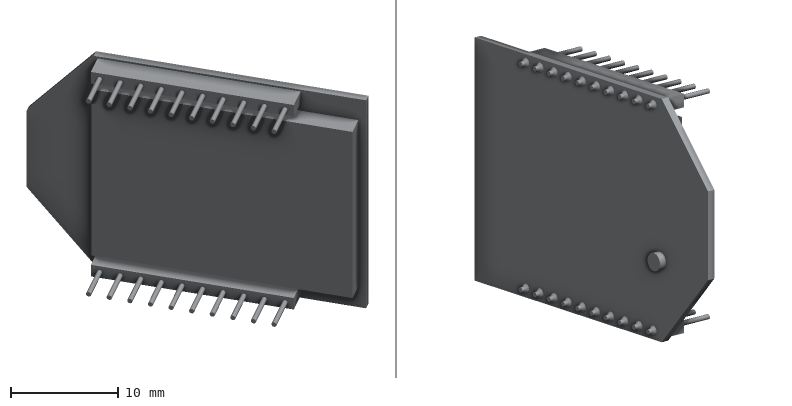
import cadquery as cq

board_length = 32.95
board_height = 23.72
board_thickness = 0.8
nose_length = 6.52
nose_height = 8.65

module_left = 6.85
module_right = 32.18
module_height = 18.95
module_depth = 2.0

header_left = 6.9
header_length = 19.7
header_height = 1.32
header_depth = 2.3
header_offset = 11.0

pins_per_header = 10
pin_row_length = 18.0
pin_pitch = pin_row_length / (pins_per_header - 1)
pin_diameter = 0.5
pin_length = 3.75
pin_tail_length = 0.65

solder_diameter = 1.0
solder_height = 0.33

connector_x = 6.8
connector_z = -3.95
connector_diameter = 1.75
connector_height = 0.75

header_center_x = header_left + header_length / 2
first_pin_x = header_center_x - pin_row_length / 2


def make_board():
    half_height = board_height / 2
    half_nose = nose_height / 2
    outline = [
        (0, -half_nose),
        (nose_length, -half_height),
        (board_length, -half_height),
        (board_length, half_height),
        (nose_length, half_height),
        (0, half_nose),
    ]
    return cq.Workplane("XZ").polyline(outline).close().extrude(-board_thickness)


def front_block(left, length, height, depth, center_z):
    """Rectangular block standing on the front face of the board."""
    return (
        cq.Workplane("XZ")
        .center(left + length / 2, center_z)
        .rect(length, height)
        .extrude(depth)
    )


def make_pin(x, z):
    """Pin with its solder cone, turned about an axis along Y."""
    pin_radius = pin_diameter / 2
    front_end = -header_depth - pin_length
    solder_end = board_thickness + solder_height
    back_end = board_thickness + pin_tail_length
    profile = [
        (0, front_end),
        (pin_radius, front_end),
        (pin_radius, board_thickness),
        (solder_diameter / 2, board_thickness),
        (pin_radius, solder_end),
        (pin_radius, back_end),
        (0, back_end),
    ]
    pin = cq.Workplane("XY").polyline(profile).close().revolve(360, (0, 0, 0), (0, 1, 0))
    return pin.translate((x, 0, z))


def make_connector():
    return (
        cq.Workplane("XZ", origin=(0, board_thickness, 0))
        .center(connector_x, connector_z)
        .circle(connector_diameter / 2)
        .extrude(-connector_height)
    )


result = make_board()
result = result.union(
    front_block(module_left, module_right - module_left, module_height, module_depth, 0)
)
for header_z in (-header_offset, header_offset):
    result = result.union(
        front_block(header_left, header_length, header_height, header_depth, header_z)
    )
    for index in range(pins_per_header):
        result = result.union(make_pin(first_pin_x + index * pin_pitch, header_z))
result = result.union(make_connector())